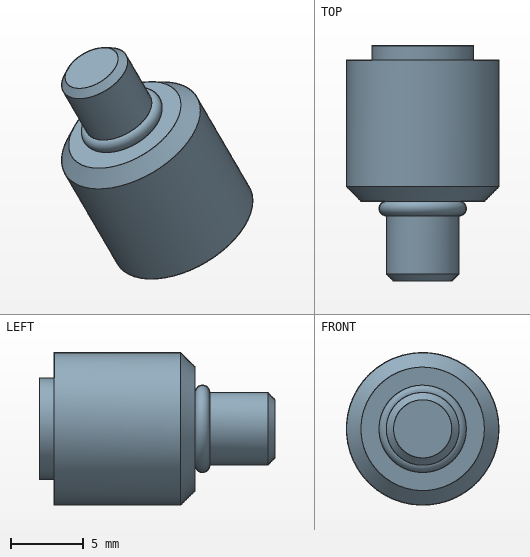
import cadquery as cq

total_length = 16.2
body_diameter = 10.5
boss_diameter = 7.0
pin_diameter = 5.0
boss_length = 1.0
pin_length = 5.49
body_chamfer = 1.0
pin_chamfer = 0.5
ring_width = 1.0

body_radius = body_diameter / 2
boss_radius = boss_diameter / 2
pin_radius = pin_diameter / 2
ring_radius = pin_radius + ring_width / 2

tip_y = 0.0
shoulder_y = tip_y + pin_length
ring_front_y = shoulder_y - ring_width
ring_middle_y = shoulder_y - ring_width / 2
boss_end_y = tip_y + total_length
body_back_y = boss_end_y - boss_length

half_section = (
    cq.Workplane("XY")
    .moveTo(0, tip_y)
    .lineTo(pin_radius - pin_chamfer, tip_y)
    .lineTo(pin_radius, tip_y + pin_chamfer)
    .lineTo(pin_radius, ring_front_y)
    .threePointArc((ring_radius, ring_middle_y), (pin_radius, shoulder_y))
    .lineTo(body_radius - body_chamfer, shoulder_y)
    .lineTo(body_radius, shoulder_y + body_chamfer)
    .lineTo(body_radius, body_back_y)
    .lineTo(boss_radius, body_back_y)
    .lineTo(boss_radius, boss_end_y)
    .lineTo(0, boss_end_y)
    .close()
)

result = half_section.revolve(360, (0, 0, 0), (0, 1, 0))